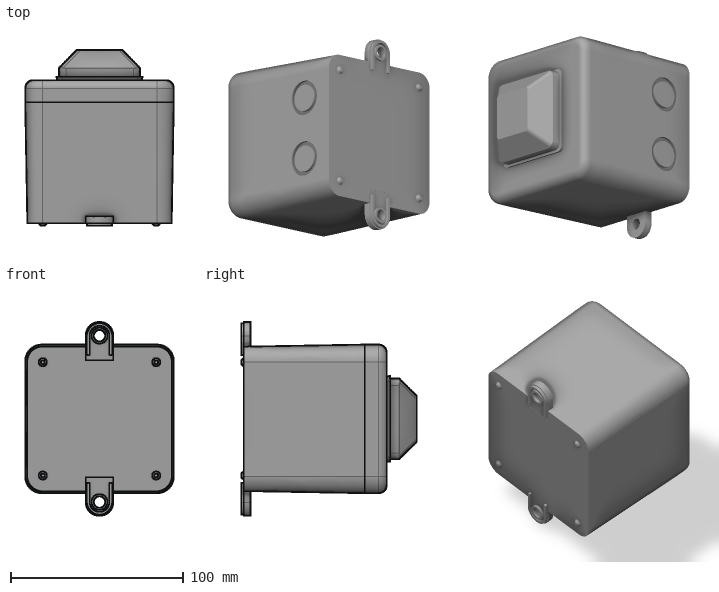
import cadquery as cq
import math


overall_height = 112.6
overall_depth = 102.0
width = 86.4
parting_y = 70.2
corner_radius = 9.9

draft_inset = 1.2
foot_height = 1.5
foot_radius = 2.4
foot_tip_radius = 1.1
foot_offset = 32.9

lug_width = 16.1
lug_inner_z = 34.0
lug_front_y = 4.0
lug_recess = 0.1
ridge_outer_radius = 7.3
ridge_inner_radius = 5.7
ridge_end_z = 37.0
ridge_end_fillet = 0.5
lug_boss_radius = 4.6
lug_hole_radius = 3.3

knockout_y = 19.8
knockout_offset = 18.0
knockout_outer_radius = 10.1
knockout_inner_radius = 7.8
knockout_depth = 1.7

lid_thickness = 13.0
lid_edge_fillet = 4.8
flange_width = 50.0
flange_thickness = 1.9
flange_corner_radius = 3.2
flange_undercut = 0.3
knob_width = 47.1
knob_corner_radius = 3.9
knob_face_width = 26.6
knob_slope_depth = 10.5
knob_slant_fillet = 2.9
knob_shoulder_fillet = 0.5

lug_radius = lug_width / 2
ridge_height = foot_height + lug_recess
lug_centre_z = overall_height / 2 - lug_radius
lid_front_y = parting_y + lid_thickness
flange_front_y = lid_front_y + flange_thickness
knob_face_y = overall_depth - foot_height
knob_slope_y = knob_face_y - knob_slope_depth


def plane_at(y):
    """Workplane parallel to XZ at the given Y, with its normal towards -Y."""
    return cq.Workplane("XZ", origin=(0, y, 0))


def rounded_square(y, size, radius):
    """Square with rounded corners, ready to extrude towards -Y."""
    return plane_at(y).sketch().rect(size, size).vertices().fillet(radius).finalize()


def u_outline(radius, end_z, y):
    """Wire outline around a lug: a half circle on top and straight legs down to end_z."""
    return (
        plane_at(y)
        .moveTo(-radius, end_z)
        .lineTo(-radius, lug_centre_z)
        .threePointArc((0, lug_centre_z + radius), (radius, lug_centre_z))
        .lineTo(radius, end_z)
        .close()
    )


def make_lug():
    """Upper mounting lug with its U-shaped ridge and hole boss; the hole is cut later."""
    plate = u_outline(lug_radius, lug_inner_z, lug_front_y).extrude(lug_front_y - lug_recess)
    ridge = (
        u_outline(ridge_outer_radius, ridge_end_z, lug_recess)
        .extrude(ridge_height)
        .cut(u_outline(ridge_inner_radius, ridge_end_z, lug_recess).extrude(ridge_height))
        .faces("<Z")
        .edges("|Y")
        .fillet(ridge_end_fillet)
    )
    boss = (
        plane_at(lug_recess)
        .center(0, lug_centre_z)
        .circle(lug_boss_radius)
        .extrude(ridge_height)
    )
    return plate.union(ridge).union(boss)


def make_lug_recess():
    """Shallow recess in the back of the base, where the upper lug is set in."""
    return u_outline(lug_radius, lug_inner_z, lug_recess).extrude(lug_recess)


def make_lug_hole():
    """Through hole of the upper lug."""
    return (
        plane_at(lug_front_y)
        .center(0, lug_centre_z)
        .circle(lug_hole_radius)
        .extrude(lug_front_y + foot_height)
    )


def make_foot(x, z):
    """Cone-shaped foot on the back face."""
    cone = cq.Solid.makeCone(
        foot_radius, foot_tip_radius, foot_height, cq.Vector(x, 0, z), cq.Vector(0, -1, 0)
    )
    return cq.Workplane(cone)


def make_knockout_groove(z):
    """Ring that cuts a knockout groove into the sloping -X wall."""
    wall_slope = draft_inset / parting_y
    wall_x = -(width / 2 - draft_inset) - knockout_y * wall_slope
    return (
        cq.Workplane("YZ", origin=(wall_x + knockout_depth, knockout_y, z))
        .circle(knockout_outer_radius)
        .circle(knockout_inner_radius)
        .extrude(-2 * knockout_depth)
    )


def make_base():
    """Tapered box with feet, mounting lugs and knockouts."""
    draft_angle = math.degrees(math.atan(draft_inset / parting_y))
    base = rounded_square(parting_y, width, corner_radius).extrude(parting_y, taper=draft_angle)
    for x in (-foot_offset, foot_offset):
        for z in (-foot_offset, foot_offset):
            base = base.union(make_foot(x, z))
    for turn in (0, 180):
        base = base.cut(make_lug_recess().rotate((0, 0, 0), (0, 1, 0), turn))
        base = base.union(make_lug().rotate((0, 0, 0), (0, 1, 0), turn))
        base = base.cut(make_lug_hole().rotate((0, 0, 0), (0, 1, 0), turn))
    for z in (-knockout_offset, knockout_offset):
        base = base.cut(make_knockout_groove(z))
    return base


def make_knob():
    """Square pad with rounded corners whose upper part slopes in to a smaller face."""
    pad = rounded_square(knob_face_y, knob_width, knob_corner_radius).extrude(knob_face_y - flange_front_y)
    straight = plane_at(knob_slope_y).rect(knob_width, knob_width).extrude(knob_slope_y - flange_front_y)
    slope_inset = (knob_width - knob_face_width) / 2
    slope_angle = math.degrees(math.atan(slope_inset / knob_slope_depth))
    slopes = (
        plane_at(knob_slope_y)
        .rect(knob_width, knob_width)
        .extrude(-knob_slope_depth, taper=slope_angle)
        .edges("not(#Y)")
        .fillet(knob_slant_fillet)
    )
    shoulder_low = (-knob_width, knob_slope_y - knob_shoulder_fillet, -knob_width)
    shoulder_high = (knob_width, knob_slope_y + knob_corner_radius / 2, knob_width)
    knob = pad.intersect(straight.union(slopes))
    return knob.edges(cq.selectors.BoxSelector(shoulder_low, shoulder_high)).fillet(knob_shoulder_fillet)


def make_lid():
    """Lid with a rounded front edge, carrying the flange and the knob."""
    shell = (
        rounded_square(lid_front_y, width, corner_radius)
        .extrude(lid_thickness)
        .faces(">Y")
        .edges()
        .fillet(lid_edge_fillet)
    )
    undercut_angle = math.degrees(math.atan(flange_undercut / flange_thickness))
    flange = rounded_square(flange_front_y, flange_width, flange_corner_radius).extrude(
        flange_thickness, taper=undercut_angle
    )
    return shell.union(flange).union(make_knob())


base = make_base()
lid = make_lid()

result = cq.Compound.makeCompound([base.solids().val(), lid.solids().val()])